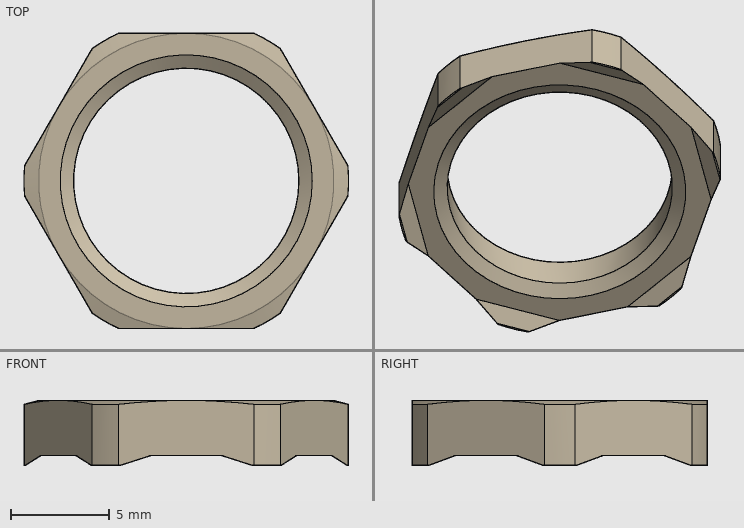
import cadquery as cq
import math

across_flats = 15.0
corner_diameter = 16.5
height = 3.3

bore_diameter = 11.43
countersink_diameter = 12.8
countersink_angle = 30.0

corner_chamfer_angle = 15.0

recess_depth = 0.5
recess_floor_across_flats = 14.76
recess_mouth_across_flats = 16.32

flat_radius = across_flats / 2
corner_radius = corner_diameter / 2
bore_radius = bore_diameter / 2
countersink_radius = countersink_diameter / 2


def rise(run, angle):
    """Height gained over a horizontal run at an angle in degrees."""
    return run * math.tan(math.radians(angle))


def turned_blank():
    """Ring with the bore, the upper countersink and the trimmed corner rim."""
    countersink_depth = rise(countersink_radius - bore_radius, countersink_angle)
    corner_drop = rise(corner_radius - flat_radius, corner_chamfer_angle)
    return (
        cq.Workplane("XZ")
        .moveTo(bore_radius, 0)
        .lineTo(corner_radius, 0)
        .lineTo(corner_radius, height - corner_drop)
        .lineTo(flat_radius, height)
        .lineTo(countersink_radius, height)
        .lineTo(bore_radius, height - countersink_depth)
        .close()
        .revolve(360, (0, 0, 0), (0, 1, 0))
    )


def across_corners(flat_to_flat):
    """Corner-to-corner size of a regular hexagon."""
    return flat_to_flat / math.cos(math.radians(30))


def hexagon_prism():
    """Hexagon with two corners on the X axis and two flats facing Y."""
    return cq.Workplane("XY").polygon(6, across_corners(across_flats)).extrude(height)


def tooth_recess():
    """Hexagonal frustum with two flats facing X, narrowing upwards from Z = 0."""
    return (
        cq.Workplane("XY")
        .transformed(rotate=(0, 0, 30))
        .polygon(6, across_corners(recess_mouth_across_flats))
        .workplane(offset=recess_depth)
        .polygon(6, across_corners(recess_floor_across_flats))
        .loft(ruled=True)
    )


def lower_countersink():
    """Cone that opens the bore into the floor of the recess."""
    depth = rise(countersink_radius - bore_radius, countersink_angle)
    return (
        cq.Workplane("XY")
        .workplane(offset=recess_depth)
        .circle(countersink_radius)
        .workplane(offset=depth)
        .circle(bore_radius)
        .loft(ruled=True)
    )


nut = turned_blank().intersect(hexagon_prism())
result = nut.cut(tooth_recess()).cut(lower_countersink())